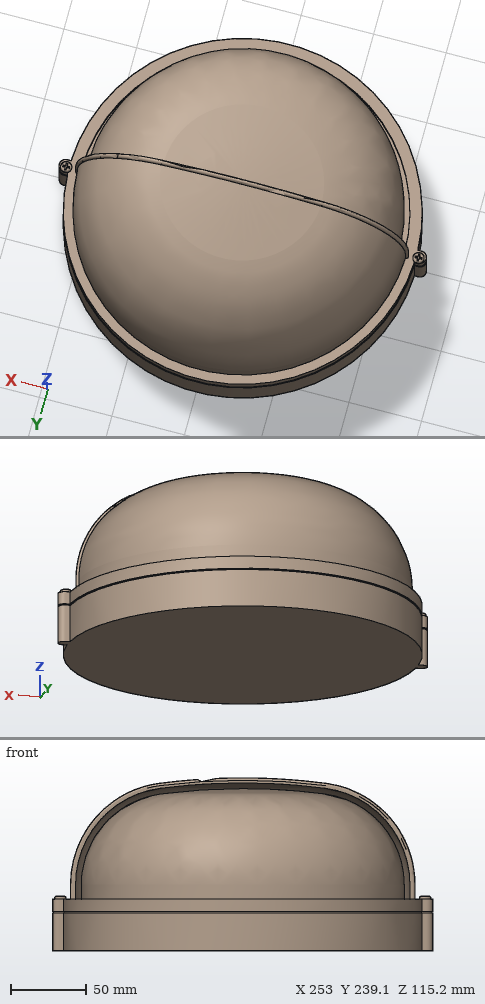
import cadquery as cq
import math

base_radius = 119.55
base_height = 34.5
seam_bottom = 25.3
seam_height = 0.8
seam_depth = 0.5
seat_radius = 111.3
seat_depth = 2.5

glass_radius = 107.5
shoulder_height = 44.0
shoulder_radius = 61.0
crown_edge_radius = 54.5

hood_outer_offset = 5.5
hood_inner_offset = seat_radius - glass_radius
hood_start_y = 0.0

bead_radius = 1.65
bead_y = hood_start_y + bead_radius

overall_width = 253.0
boss_radius = 4.3
boss_center_x = overall_width / 2 - boss_radius
screw_x = 121.5
screw_y = 1.0
head_radius = 3.8
head_height = 2.0
head_fillet = 1.3
recess_length = 4.5
recess_width = 1.0
recess_depth = 1.3

shoulder_center_x = glass_radius - shoulder_radius
crown_angle = math.asin((crown_edge_radius - shoulder_center_x) / shoulder_radius)
shoulder_middle_angle = (crown_angle + math.pi / 2) / 2
crown_radius = crown_edge_radius / math.sin(crown_angle)
crown_center_z = (
    shoulder_height
    + shoulder_radius * math.cos(crown_angle)
    - crown_radius * math.cos(crown_angle)
)


def shoulder_point(offset, angle):
    """Point on the offset shoulder arc, at an angle from vertical."""
    radius = shoulder_radius + offset
    return (
        shoulder_center_x + radius * math.sin(angle),
        shoulder_height + radius * math.cos(angle),
    )


def crown_point(offset, angle):
    """Point on the offset crown arc, at an angle from vertical."""
    radius = crown_radius + offset
    return (radius * math.sin(angle), crown_center_z + radius * math.cos(angle))


def mirrored(point):
    """Same height, opposite side of the axis."""
    return (-point[0], point[1])


def dome(offset, bottom):
    """Solid of revolution shaped like the glass, grown outward by an offset."""
    return (
        cq.Workplane("XZ")
        .moveTo(0, bottom)
        .lineTo(glass_radius + offset, bottom)
        .lineTo(glass_radius + offset, shoulder_height)
        .threePointArc(
            shoulder_point(offset, shoulder_middle_angle),
            shoulder_point(offset, crown_angle),
        )
        .threePointArc(crown_point(offset, crown_angle / 2), crown_point(offset, 0))
        .close()
        .revolve(360, (0, 0, 0), (0, 1, 0))
    )


def slab(start_y, end_y):
    """Block reaching past the part in X and Z, between two Y positions."""
    span = 4 * base_radius
    return cq.Workplane("XY").box(span, end_y - start_y, span).translate(
        (0, (start_y + end_y) / 2, 0)
    )


def base_outline(inset, bottom, height):
    """Round plate with a round-ended boss on each side, shrunk by an inset."""
    plate = cq.Workplane("XY").circle(base_radius - inset).extrude(height)
    bosses = (
        cq.Workplane("XY")
        .slot2D(2 * (boss_center_x + boss_radius - inset), 2 * (boss_radius - inset))
        .extrude(height)
    )
    return plate.union(bosses).translate((0, 0, bottom))


def base():
    seam = base_outline(0, seam_bottom, seam_height).cut(
        base_outline(seam_depth, seam_bottom, seam_height)
    )
    seat = (
        cq.Workplane("XY")
        .workplane(offset=base_height - seat_depth)
        .circle(seat_radius)
        .extrude(seat_depth)
    )
    return base_outline(0, 0, base_height).cut(seam).cut(seat)


def glass():
    return dome(0, base_height - seat_depth)


def bead(bottom):
    """Round bar that follows the hood from one side, over the top, to the other."""
    offset = hood_outer_offset
    side_x = glass_radius + offset
    shoulder_middle = shoulder_point(offset, shoulder_middle_angle)
    crown_edge = shoulder_point(offset, crown_angle)
    path = (
        cq.Workplane("XZ", origin=(0, bead_y, 0))
        .moveTo(-side_x, bottom)
        .lineTo(-side_x, shoulder_height)
        .threePointArc(mirrored(shoulder_middle), mirrored(crown_edge))
        .threePointArc(crown_point(offset, 0), crown_edge)
        .threePointArc(shoulder_middle, (side_x, shoulder_height))
        .lineTo(side_x, bottom)
    )
    return (
        cq.Workplane("XY", origin=(-side_x, bead_y, bottom))
        .circle(bead_radius)
        .sweep(path)
    )


def hood():
    """Half shell with a round bead along its open edge."""
    sunk = base_height - seat_depth
    shell = dome(hood_outer_offset, sunk).cut(dome(hood_inner_offset, sunk))
    return shell.intersect(slab(hood_start_y, base_radius)).union(bead(sunk))


def screw_head(side):
    head = (
        cq.Workplane("XY")
        .circle(head_radius)
        .extrude(head_height)
        .faces(">Z")
        .fillet(head_fillet)
    )
    for angle in (0, 90):
        arm = (
            cq.Workplane("XY")
            .workplane(offset=head_height - recess_depth)
            .rect(recess_length, recess_width)
            .extrude(recess_depth)
            .rotate((0, 0, 0), (0, 0, 1), angle)
        )
        head = head.cut(arm)
    return head.translate((side * screw_x, screw_y, base_height))


result = base().union(glass()).union(hood())
for side in (-1, 1):
    result = result.union(screw_head(side))